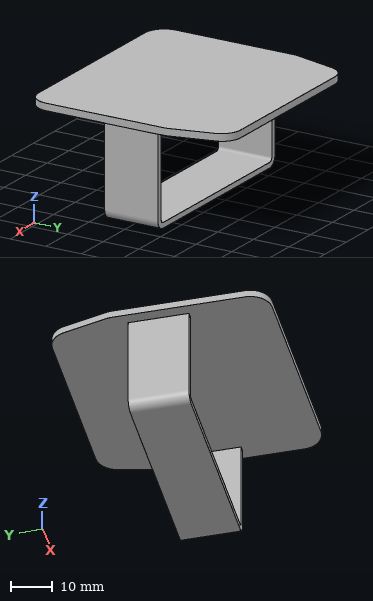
import cadquery as cq

plate_width = 60.0
plate_length = 55.0
plate_thickness = 2.0
corner_radius = 5.45
taper_inset = 4.0
taper_length = 15.95

total_height = 28.0
loop_width = 54.1
loop_depth = 15.0
loop_thickness = 1.5
loop_inner_radius = 1.0
loop_outer_radius = loop_inner_radius + loop_thickness
loop_height = total_height - plate_thickness


def make_plate():
    """Flat plate with its underside on Z = 0, narrowing towards the back (+Y)."""
    side = plate_width / 2
    back = plate_length / 2
    taper_start = back - taper_length
    back_corner = side - taper_inset
    outline = [
        (-side, -back),
        (side, -back),
        (side, taper_start),
        (back_corner, back),
        (-back_corner, back),
        (-side, taper_start),
    ]
    plate = cq.Workplane("XY").polyline(outline).close().extrude(plate_thickness)
    return plate.edges("|Z").fillet(corner_radius)


def make_block(width, height, bottom_radius):
    """Block hanging below Z = 0, with its two lower long edges rounded."""
    block = cq.Workplane("XY").box(width, loop_depth, height, centered=(True, True, False))
    block = block.translate((0, 0, -height))
    return block.edges("|Y and <Z").fillet(bottom_radius)


def make_loop():
    """U-shaped strap of constant thickness, open towards -Y and +Y."""
    outside = make_block(loop_width, loop_height, loop_outer_radius)
    inside = make_block(
        loop_width - 2 * loop_thickness,
        loop_height - loop_thickness,
        loop_inner_radius,
    )
    return outside.cut(inside)


result = make_plate().union(make_loop())